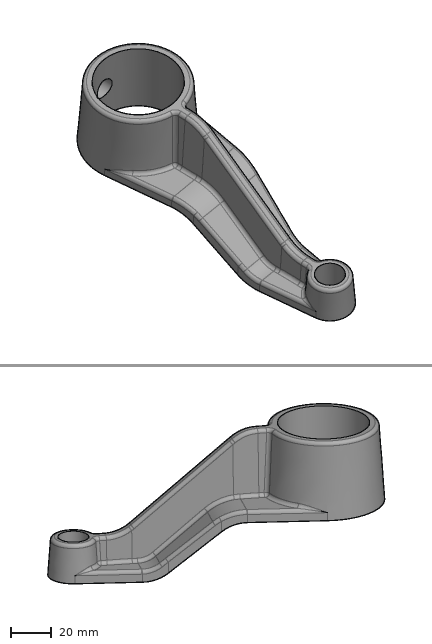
import cadquery as cq
import math

total_length = 167.5
hub_radius = 30.0
hub_height = 40.0
hub_bore = 45.0
eye_radius = 12.5
eye_height = 20.0
eye_bore = 15.0
eye_drop = 30.0
side_hole = 11.0
draft_angle = 4.0
rounding = 2.0
corner_rounding = 2.3
bend_radius = 20.0

plate_thickness = 6.0
plate_bend_x = 50.0

rib_width = 6.4
rib_bend_x = 40.5
rib_bend_to_eye = 23.0

eye_x = total_length - hub_radius - eye_radius
eye_base = -eye_drop
eye_top = eye_base + eye_height
lean = math.tan(math.radians(draft_angle))
rib_low_bend_x = eye_x - rib_bend_to_eye
arm_slope = math.atan((hub_height - eye_top) / (rib_low_bend_x - rib_bend_x))
plate_low_bend_x = plate_bend_x + eye_drop / math.tan(arm_slope)
side_sin = (hub_radius - eye_radius) / eye_x
side_cos = math.sqrt(1 - side_sin**2)

clear_y = 2 * hub_radius
clear_z = 2 * hub_height
clear_left = -2 * hub_radius
clear_right = eye_x + 2 * hub_radius


def drafted_boss(x, base, radius, height):
    """Round body standing on `base` that narrows upward with the draft."""
    top_radius = radius - height * lean
    return cq.Workplane(obj=cq.Solid.makeCone(radius, top_radius, height, pnt=cq.Vector(x, 0, base)))


def stepped_face(path, far_z, upper_radius, lower_radius):
    """XZ face between a four-point stepped path, rounded at both bends, and level far_z."""
    closing = [(path[-1][0], far_z), (path[0][0], far_z)]
    points = [cq.Vector(x, 0, z) for x, z in path + closing]
    face = cq.Face.makeFromWires(cq.Wire.makePolygon(points, close=True))
    for corner, radius in ((points[1], upper_radius), (points[2], lower_radius)):
        vertex = min(face.Vertices(), key=lambda v: (v.Center() - corner).Length)
        face = face.fillet2D(radius, [vertex])
    return face


def sweep(face, direction):
    """Straight sweep of a face; the direction may be oblique to it."""
    return cq.Workplane(obj=cq.Solid.extrudeLinear(face, cq.Vector(*direction)))


def sweep_across(face, width):
    """Sweep an XZ face along Y, centred on the mid-plane."""
    return sweep(face.translate(cq.Vector(0, -width / 2, 0)), (0, width, 0))


def column(outline):
    """Tall upright prism over a plan outline."""
    return cq.Workplane("XY", origin=(0, 0, -clear_z)).polyline(outline).close().extrude(2 * clear_z)


def above_underside():
    """All the space above the bent underside of the plate."""
    path = [
        (clear_left, 0),
        (plate_bend_x, 0),
        (plate_low_bend_x, eye_base),
        (clear_right, eye_base),
    ]
    return sweep_across(stepped_face(path, clear_z, bend_radius, bend_radius), 2 * clear_y)


def below_plate_top():
    """All the space below the plate's top, which runs parallel to the underside."""
    shift = plate_thickness * math.tan(arm_slope / 2)
    path = [
        (clear_left, plate_thickness),
        (plate_bend_x + shift, plate_thickness),
        (plate_low_bend_x + shift, eye_base + plate_thickness),
        (clear_right, eye_base + plate_thickness),
    ]
    outer = bend_radius + plate_thickness
    inner = bend_radius - plate_thickness
    return sweep_across(stepped_face(path, -clear_z, outer, inner), 2 * clear_y)


def side_trim(side):
    """Material to remove so that a plate side leans inward from its underside edge."""
    left_y = side * (hub_radius - clear_left * side_sin) / side_cos
    right_y = side * (hub_radius - clear_right * side_sin) / side_cos
    far_y = side * 2 * clear_y
    outline = [(clear_left, left_y), (clear_right, right_y), (clear_right, far_y), (clear_left, far_y)]
    beyond = above_underside().intersect(column(outline))
    inward = cq.Vector(-side_sin, -side * side_cos, 0)
    wall = max(beyond.faces().vals(), key=lambda face: face.normalAt().dot(inward))
    rise = 2 * plate_thickness
    return sweep(wall, (0, -side * rise * lean / side_cos, rise))


def top_outline(body):
    """Edges around the upward faces, without those shared by two of them."""
    upward = [face for face in body.faces().vals() if face.normalAt().z > 0.5]
    edges = [edge for face in upward for edge in face.Edges()]
    return [edge for edge in edges if sum(edge.isSame(other) for other in edges) == 1]


def make_plate():
    """Bent plate with drafted sides, wrapped round both bases, top edge rounded."""
    hub_touch = (hub_radius * side_sin, hub_radius * side_cos)
    eye_touch = (eye_x + eye_radius * side_sin, eye_radius * side_cos)
    half_outline = [hub_touch, eye_touch]
    mirrored = [(x, -y) for x, y in reversed(half_outline)]
    arm = column([(0, 0)] + half_outline + [(eye_x, 0)] + mirrored)
    plate = arm.intersect(below_plate_top()).intersect(above_underside())
    for side in (1, -1):
        plate = plate.cut(side_trim(side))
    plate = plate.union(drafted_boss(0, 0, hub_radius, plate_thickness))
    plate = plate.union(drafted_boss(eye_x, eye_base, eye_radius, plate_thickness)).clean()
    return plate.newObject(top_outline(plate)).fillet(rounding)


def make_rib():
    """Rib along the arm; its sides lean outward going down from the top edge."""
    path = [(0, hub_height), (rib_bend_x, hub_height), (rib_low_bend_x, eye_top), (eye_x, eye_top)]
    face = stepped_face(path, -clear_z, bend_radius, bend_radius)
    rib = sweep_across(face, rib_width)
    for side in (1, -1):
        edge_face = face.translate(cq.Vector(0, side * rib_width / 2, 0))
        rib = rib.union(sweep(edge_face, (0, side * clear_z * lean, -clear_z)))
    return rib.intersect(above_underside())


def round_along(body, points):
    """Round the edges nearest the points, and all edges that continue them smoothly."""
    seeds = []
    for point in points:
        marker = cq.Vertex.makeVertex(*point)
        seeds.append(min(body.edges().vals(), key=lambda edge: edge.distance(marker)))
    return body.newObject(seeds).fillet(rounding)


def make_casting():
    """Plate, rib, hub and eye joined and rounded, still without holes."""
    body = drafted_boss(0, 0, hub_radius, hub_height)
    body = body.union(drafted_boss(eye_x, eye_base, eye_radius, eye_height))
    body = body.union(make_rib()).union(make_plate()).clean()

    body = body.edges("%PARABOLA").fillet(corner_rounding)

    hub_top_radius = hub_radius - hub_height * lean
    body = round_along(body, [(-hub_top_radius, 0, hub_height)])

    foot_x = (plate_bend_x + plate_low_bend_x) / 2
    foot_z = eye_base / 2 + plate_thickness / math.cos(arm_slope)
    rib_top_z = hub_height - (foot_x - rib_bend_x) * math.tan(arm_slope)
    foot_y = rib_width / 2 + (rib_top_z - foot_z) * lean
    return round_along(body, [(foot_x, foot_y, foot_z), (foot_x, -foot_y, foot_z)])


def bore(x, base, diameter, height):
    return cq.Workplane("XY", origin=(x, 0, base)).circle(diameter / 2).extrude(height)


result = make_casting()
result = result.cut(bore(0, 0, hub_bore, hub_height))
result = result.cut(bore(eye_x, eye_base, eye_bore, eye_height))
hole_start = (-hub_radius, 0, hub_height / 2)
result = result.cut(cq.Workplane("YZ", origin=hole_start).circle(side_hole / 2).extrude(hub_radius))